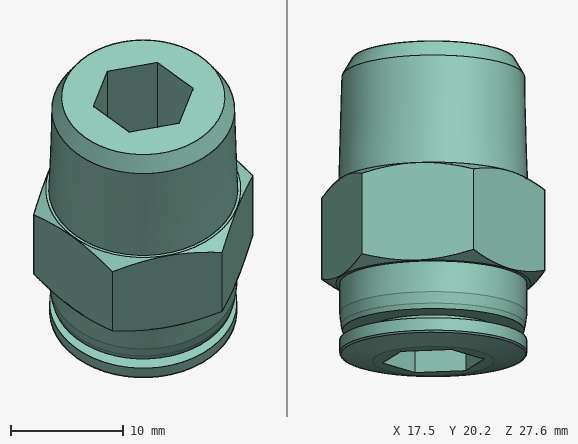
import cadquery as cq
import math

total_height = 27.6

hex_across_flats = 17.47
hex_bottom_z = 7.12
hex_top_z = 16.12
hex_chamfer_angle = 30.0
hex_chamfer_face_diameter = 17.4
socket_across_flats = 7.95

stud_base_diameter = 16.85
stud_end_diameter = 16.3
stud_tip_diameter = 14.55
stud_tip_length = 1.52

sleeve_diameter = 16.7
sleeve_taper_diameter = 16.42
sleeve_end_diameter = 16.2
sleeve_taper_top_z = 4.3
sleeve_taper_bottom_z = 3.28
sleeve_bottom_z = 2.82

neck_diameter = 11.55
neck_flare = 0.22
neck_flare_height = 0.35
flange_diameter = 16.7
flange_top_z = 1.9
flange_edge_z = 0.77
flange_bevel = 0.1
flange_bevel_bottom_z = 0.6
flange_face_diameter = 10.85


def hexagon_prism(across_flats, bottom_z, top_z):
    corner_diameter = across_flats / math.cos(math.radians(30))
    return (
        cq.Workplane("XY", origin=(0, 0, bottom_z))
        .transformed(rotate=(0, 0, 90))
        .polygon(6, corner_diameter)
        .extrude(top_z - bottom_z)
    )


def revolve_profile(outline):
    """Revolve (radius, z) points, closed along the Z axis."""
    points = [(0, outline[0][1])] + outline + [(0, outline[-1][1])]
    return cq.Workplane("XZ").polyline(points).close().revolve(360, (0, 0), (0, 1))


def chamfered_hex():
    """Hex prism whose corners are trimmed by a cone at both ends."""
    face_radius = hex_chamfer_face_diameter / 2
    corner_radius = hex_across_flats / math.sqrt(3)
    slope = math.tan(math.radians(hex_chamfer_angle))
    clear_radius = corner_radius + 0.28
    drop = (clear_radius - face_radius) * slope
    envelope = revolve_profile([
        (face_radius, hex_bottom_z),
        (clear_radius, hex_bottom_z + drop),
        (clear_radius, hex_top_z - drop),
        (face_radius, hex_top_z),
    ])
    return hexagon_prism(hex_across_flats, hex_bottom_z, hex_top_z).intersect(envelope)


def turned_body():
    """All round surfaces, from the collar face up to the stud tip."""
    neck_radius = neck_diameter / 2
    flange_radius = flange_diameter / 2
    return revolve_profile([
        (flange_face_diameter / 2, 0),
        (flange_radius - flange_bevel, flange_bevel_bottom_z),
        (flange_radius, flange_edge_z),
        (flange_radius, flange_top_z),
        (neck_radius + neck_flare, flange_top_z),
        (neck_radius, flange_top_z + neck_flare_height),
        (neck_radius, sleeve_bottom_z),
        (sleeve_end_diameter / 2, sleeve_bottom_z),
        (sleeve_taper_diameter / 2, sleeve_taper_bottom_z),
        (sleeve_diameter / 2, sleeve_taper_top_z),
        (sleeve_diameter / 2, hex_top_z),
        (stud_base_diameter / 2, hex_top_z),
        (stud_end_diameter / 2, total_height - stud_tip_length),
        (stud_tip_diameter / 2, total_height),
    ])


socket = hexagon_prism(socket_across_flats, 0, total_height)
result = turned_body().union(chamfered_hex()).cut(socket)